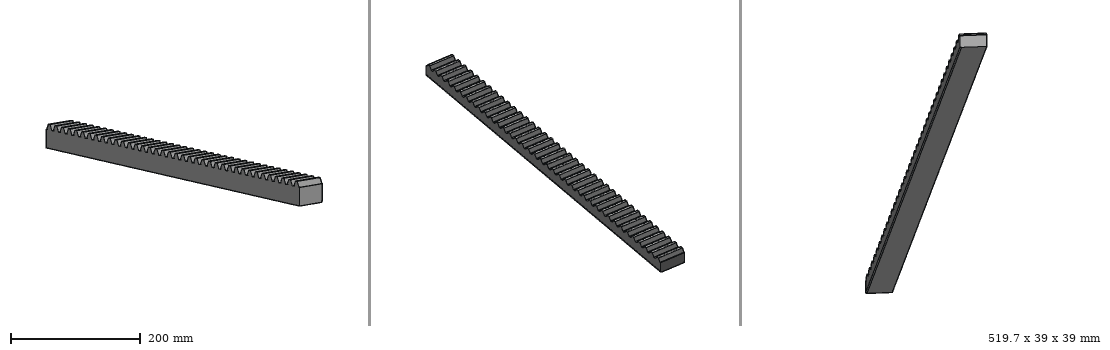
import cadquery as cq
import math

MODULE = 4.0
HELIX_ANGLE = math.radians(19.5283)
PRESSURE_ANGLE = math.radians(20.0)
TOOTH_COUNT = 38
FACE_WIDTH = 39.0
HEIGHT = 39.0
OVERALL_LENGTH = 519.72
EDGE_CHAMFER = 2.0

ADDENDUM = MODULE
DEDENDUM = 1.25 * MODULE
TOOTH_DEPTH = ADDENDUM + DEDENDUM

SLANT = FACE_WIDTH * math.tan(HELIX_ANGLE)
BODY_LENGTH = OVERALL_LENGTH - SLANT
PITCH = math.pi * MODULE / math.cos(HELIX_ANGLE)
FLANK_SLOPE = math.tan(PRESSURE_ANGLE) / math.cos(HELIX_ANGLE)
TIP_HALF_WIDTH = PITCH / 4 - ADDENDUM * FLANK_SLOPE
ROOT_HALF_WIDTH = PITCH / 4 + DEDENDUM * FLANK_SLOPE
ROOT_Z = HEIGHT - TOOTH_DEPTH


def tooth_points(center_x):
    """Trapezoid of one tooth, from its left root to its right root."""
    return [
        (center_x - ROOT_HALF_WIDTH, ROOT_Z),
        (center_x - TIP_HALF_WIDTH, HEIGHT),
        (center_x + TIP_HALF_WIDTH, HEIGHT),
        (center_x + ROOT_HALF_WIDTH, ROOT_Z),
    ]


def rack_profile():
    """Closed section of the rack on its front face, with the row of teeth on top."""
    half_length = BODY_LENGTH / 2
    points = [(-half_length, 0), (-half_length, ROOT_Z)]
    for index in range(TOOTH_COUNT):
        points += tooth_points((index - (TOOTH_COUNT - 1) / 2) * PITCH)
    points += [(half_length, ROOT_Z), (half_length, 0)]
    return points


def slanted_rack():
    """Section swept in a straight line along the helix direction, so the ends slant like the teeth."""
    section = cq.Workplane("XZ").polyline(rack_profile()).close().val()
    sweep = cq.Vector(SLANT, FACE_WIDTH, 0)
    return cq.Workplane(cq.Solid.extrudeLinear(section, [], sweep))


def chamfer_lower_rear_edge(rack):
    return rack.faces(">Y").edges("<Z").chamfer(EDGE_CHAMFER)


result = chamfer_lower_rear_edge(slanted_rack())